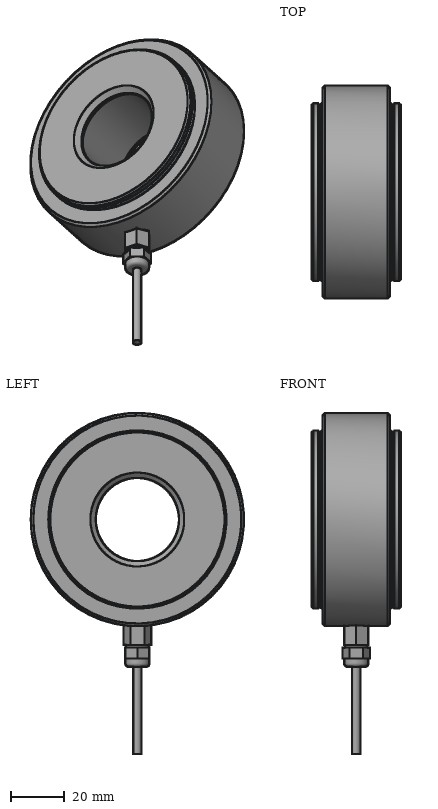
import cadquery as cq

RING_DIAMETER = 79.0
TOTAL_WIDTH = 33.0
TOTAL_HEIGHT = 126.5
BORE_DIAMETER = 30.7
RING_BOTTOM = -RING_DIAMETER / 2
CABLE_END = RING_DIAMETER / 2 - TOTAL_HEIGHT

RIM_WIDTH = 25.0
RIM_CHAMFER = 1.0
BOSS_DIAMETER = 66.0

DISC_DIAMETER = BOSS_DIAMETER
DISC_THICKNESS = 3.0
EDGE_CHAMFER = 0.8
BORE_CHAMFER = 2.0
HOUSING_WIDTH = TOTAL_WIDTH - 2 * DISC_THICKNESS

HEX_ACROSS_FLATS = 9.0
HEX_ACROSS_CORNERS = HEX_ACROSS_FLATS / 0.75 ** 0.5
BASE_LENGTH = 7.0
SOCKET_DEPTH = 0.6
NECK_DIAMETER = 8.5
NECK_LENGTH = 1.0
CAP_LENGTH = 4.0
END_DIAMETER = HEX_ACROSS_FLATS
END_LENGTH = 3.0
END_FILLET = 1.3
GLAND_TOP = RING_BOTTOM + SOCKET_DEPTH

CABLE_DIAMETER = 3.2


def x_cylinder(diameter, x_start, length):
    """Cylinder on the X axis, running towards +X."""
    return cq.Workplane("YZ", origin=(x_start, 0, 0)).circle(diameter / 2).extrude(length)


def z_cylinder(diameter, z_top, length):
    """Cylinder on the Z axis, hanging down from z_top."""
    return cq.Workplane("XY", origin=(0, 0, z_top)).circle(diameter / 2).extrude(-length)


def z_hexagon(z_top, length, corner_angle):
    """Hexagonal prism on the Z axis, with one corner turned corner_angle from +X."""
    return (
        cq.Workplane("XY", origin=(0, 0, z_top))
        .polygon(6, HEX_ACROSS_CORNERS)
        .extrude(-length)
        .rotate((0, 0, 0), (0, 0, 1), corner_angle)
    )


def make_gland_envelope():
    """Gland without its cable hole."""
    base = z_hexagon(GLAND_TOP, BASE_LENGTH + SOCKET_DEPTH, 30)
    neck_top = RING_BOTTOM - BASE_LENGTH
    neck = z_cylinder(NECK_DIAMETER, neck_top, NECK_LENGTH)
    cap_top = neck_top - NECK_LENGTH
    cap = z_hexagon(cap_top, CAP_LENGTH, 0)
    end = z_cylinder(END_DIAMETER, cap_top - CAP_LENGTH, END_LENGTH)
    end = end.faces("<Z").edges().fillet(END_FILLET)
    return base.union(neck).union(cap).union(end)


def make_cable():
    return z_cylinder(CABLE_DIAMETER, GLAND_TOP, GLAND_TOP - CABLE_END)


def make_housing(gland_envelope):
    """Rim and bosses, bored through, with a socket for the gland base."""
    rim = x_cylinder(RING_DIAMETER, -RIM_WIDTH / 2, RIM_WIDTH)
    rim = rim.faces("<X or >X").edges().chamfer(RIM_CHAMFER)
    bosses = x_cylinder(BOSS_DIAMETER, -HOUSING_WIDTH / 2, HOUSING_WIDTH)
    bosses = bosses.faces("<X or >X").edges().chamfer(EDGE_CHAMFER)
    bore = x_cylinder(BORE_DIAMETER, -HOUSING_WIDTH / 2, HOUSING_WIDTH)
    return rim.union(bosses).cut(bore).cut(gland_envelope)


def make_disc(side):
    """Thrust disc on the -X (side = -1) or +X (side = 1) boss."""
    disc = x_cylinder(DISC_DIAMETER, HOUSING_WIDTH / 2, DISC_THICKNESS)
    disc = disc.faces("<X or >X").edges().chamfer(EDGE_CHAMFER)
    disc = disc.cut(x_cylinder(BORE_DIAMETER, HOUSING_WIDTH / 2, DISC_THICKNESS))
    bore_rim = disc.faces(">X").edges(cq.selectors.RadiusNthSelector(0))
    disc = bore_rim.chamfer(BORE_CHAMFER)
    if side < 0:
        disc = disc.mirror("YZ")
    return disc


gland_envelope = make_gland_envelope()
housing = make_housing(gland_envelope)
cable = make_cable()
gland = gland_envelope.cut(cable)
discs = [make_disc(side) for side in (-1, 1)]

result = cq.Compound.makeCompound(
    [housing.val(), gland.val(), cable.val(), *[disc.val() for disc in discs]]
)